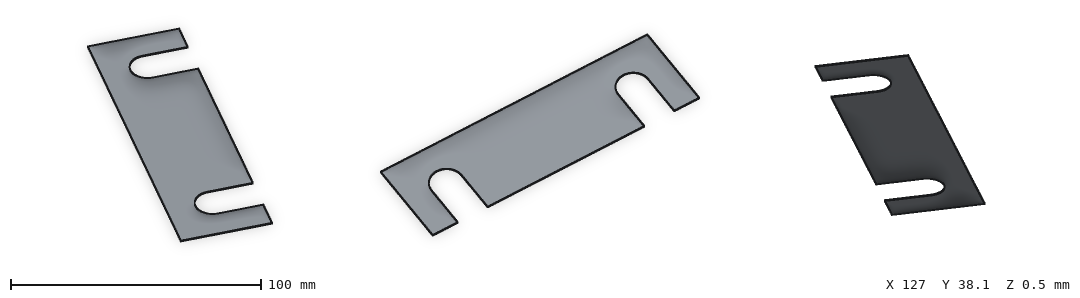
import cadquery as cq

length = 127.0
width = 38.1
thickness = 0.5

slot_width = 14.2
slot_spacing = 88.9
slot_center_depth = 19.0

slot_radius = slot_width / 2
slot_center_y = width / 2 - slot_center_depth


def open_slot(center_x):
    """Cutter for one slot: a straight mouth ending in a half circle."""
    return (
        cq.Workplane("XY")
        .moveTo(center_x - slot_radius, width / 2)
        .lineTo(center_x - slot_radius, slot_center_y)
        .threePointArc(
            (center_x, slot_center_y - slot_radius),
            (center_x + slot_radius, slot_center_y),
        )
        .lineTo(center_x + slot_radius, width / 2)
        .close()
        .extrude(thickness)
    )


result = cq.Workplane("XY").box(length, width, thickness, centered=(True, True, False))
for side in (-1, 1):
    result = result.cut(open_slot(side * slot_spacing / 2))